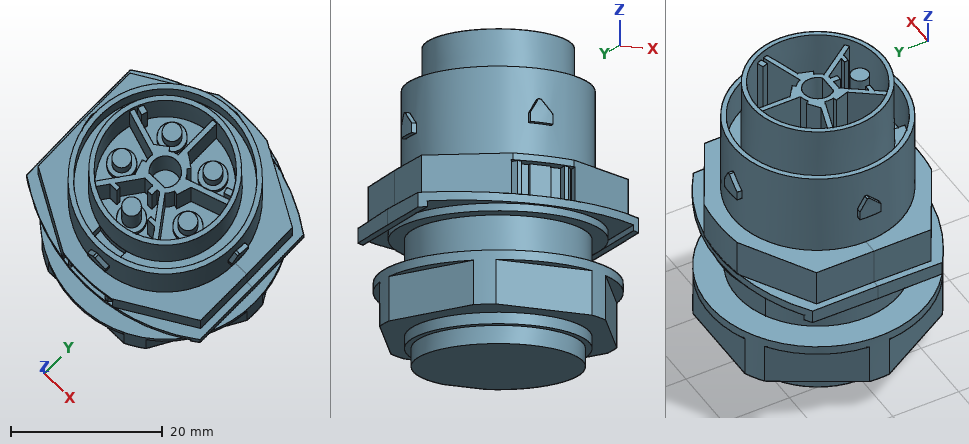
import cadquery as cq
import math

total_height = 43.45
thread_bottom_z = 2.48
nut_bottom_z = 4.05
nut_flats_top_z = 10.12
nut_top_z = 11.43
disc_bottom_z = 17.35
lip_bottom_z = 17.6
flange_bottom_z = 18.4
flange_top_z = 19.75
pocket_top_z = 24.1
hex_top_z = 25.15
socket_floor_z = 32.6
sleeve_top_z = 37.6
insert_top_z = 42.3

foot_radius = 11.5
thread_radius = 12.4
thread_flat_y = 11.1
disc_radius = 14.5

nut_radius = 16.5
nut_across_flats = 30.0

flange_bulge_y = 15.0
hex_bulge_y = 15.1
bulge_radius = 27.37
flange_half_width = 16.0
lip_width = 1.15
hex_half_width = 15.0
side_draft = 0.5
flange_top_draft = 1.0
hex_top_draft = 0.5
hex_bottom_z = flange_top_z - flange_bulge_y * math.tan(math.radians(flange_top_draft))

pocket_half_width = 4.55
pocket_panel_y = -13.25
pocket_block_y = -13.75
pocket_block_half_width = 1.5
rib_inner_x = 3.1
rib_outer_x = 3.65
rib_foot_x = 4.4
rib_front_y = -14.6
groove_floor_y = -13.6

sleeve_radius = 12.8
sleeve_bore_radius = 12.1
bump_radius = 13.5
bump_count = 4
bump_bottom_z = 30.02
bump_shoulder_z = 31.35
bump_apex_z = 33.25
bump_left_x = -1.25
bump_right_x = 2.0
bump_apex_half_width = 0.17

inner_top_radius = 10.1
inner_foot_radius = 10.15
bore_top_radius = 9.4
bore_foot_radius = 9.3

keyway_depth = 2.17
keyway_top_half_width = 2.45
keyway_foot_half_width = 2.25

chamber_count = 5
chamber_angle = 360.0 / chamber_count
web_thickness = 0.75
hub_radius = 2.85
hub_flat_y = -2.48
hub_hole_radius = 2.15
hub_hole_flat_y = -1.55
block_reach = 3.45
block_end = 0.11
key_left_x = 0.1
key_right_x = 0.9
key_end_y = -3.48
tooth_tip_x = 2.82
tooth_top_y = -5.65
tooth_bottom_y = -6.25
lug_tip = 8.2
lug_lower = 0.83
lug_upper = 1.7
pin_circle_radius = 6.4
pin_radius = 1.3
earth_pin_top_z = 41.95
pin_top_z = 37.35
collar_radius = 2.0
collar_height = 1.3

half_hexagon_step = 30.0
overlap = 0.45


def cylinder(radius, bottom, top):
    """Upright cylinder on the main axis."""
    return cq.Workplane("XY").workplane(offset=bottom).circle(radius).extrude(top - bottom)


def cone(bottom_radius, top_radius, bottom, top):
    """Upright truncated cone on the main axis."""
    profile = [(0, bottom), (bottom_radius, bottom), (top_radius, top), (0, top)]
    return cq.Workplane("XZ").polyline(profile).close().revolve(360, (0, 0), (0, 1))


def block(x_range, y_range, z_range):
    """Axis-aligned box between two limits on each axis."""
    (x0, x1), (y0, y1), (z0, z1) = x_range, y_range, z_range
    return cq.Workplane("XY").box(x1 - x0, y1 - y0, z1 - z0, centered=False).translate((x0, y0, z0))


def turned(shape, angle):
    """Copy of a shape turned about the main axis."""
    return shape.rotate((0, 0, 0), (0, 0, 1), angle)


def make_nut():
    """Round collar whose lower part carries six wrench flats."""
    hexagon = (
        cq.Workplane("XY")
        .workplane(offset=nut_bottom_z)
        .polygon(6, nut_across_flats, circumscribed=True)
        .extrude(nut_flats_top_z - nut_bottom_z)
    )
    lower = cylinder(nut_radius, nut_bottom_z, nut_flats_top_z).intersect(turned(hexagon, half_hexagon_step))
    collar = cylinder(nut_radius, nut_flats_top_z, nut_top_z)
    return lower.union(collar).cut(cylinder(thread_radius, nut_bottom_z, nut_top_z))


def bulged_plate(half_width, bulge_y, bottom, top, top_draft):
    """Plate with bulged +Y and -Y ends; its sides and top fall away from the plane y = 0."""
    corner_y = bulge_y - bulge_radius + math.sqrt(bulge_radius**2 - half_width**2)
    corner_x = half_width - corner_y * math.tan(math.radians(side_draft))
    plate = (
        cq.Workplane("XY")
        .workplane(offset=bottom)
        .moveTo(-corner_x, -corner_y)
        .threePointArc((0, -bulge_y), (corner_x, -corner_y))
        .lineTo(half_width, 0)
        .lineTo(corner_x, corner_y)
        .threePointArc((0, bulge_y), (-corner_x, corner_y))
        .lineTo(-half_width, 0)
        .close()
        .extrude(top - bottom)
    )
    eaves_z = top - bulge_y * math.tan(math.radians(top_draft))
    gable = [
        (-bulge_y, bottom),
        (bulge_y, bottom),
        (bulge_y, eaves_z),
        (0, top),
        (-bulge_y, eaves_z),
    ]
    roof = cq.Workplane("YZ").polyline(gable).close().extrude(half_width, both=True)
    return plate.intersect(roof)


def make_flange():
    """Flange with a lip hanging down along its +X and -X sides."""
    flange = bulged_plate(flange_half_width, flange_bulge_y, lip_bottom_z, flange_top_z, flange_top_draft)
    lip_inner_x = flange_half_width - lip_width
    relief = block(
        (-lip_inner_x, lip_inner_x),
        (-flange_bulge_y, flange_bulge_y),
        (lip_bottom_z, flange_bottom_z),
    )
    return flange.cut(relief)


def make_wrench_hexagon():
    """Hexagon with flats on +X and -X, its +Y and -Y corners rounded off by the bulge."""
    plate = bulged_plate(hex_half_width, hex_bulge_y, hex_bottom_z, hex_top_z, hex_top_draft)
    hexagon = (
        cq.Workplane("XY")
        .workplane(offset=hex_bottom_z)
        .polygon(6, 2 * hex_half_width, circumscribed=True)
        .extrude(hex_top_z - hex_bottom_z)
    )
    return plate.intersect(hexagon)


def make_wrench_pocket():
    """Pocket with a raised middle block, two ribs set back a little, and a V groove outside each rib."""
    right_half = [
        (pocket_block_half_width, pocket_block_y),
        (pocket_block_half_width, pocket_panel_y),
        (rib_inner_x, pocket_panel_y),
        (rib_inner_x, rib_front_y),
        (rib_outer_x, rib_front_y),
        (rib_foot_x, groove_floor_y),
        (pocket_half_width, groove_floor_y),
        (pocket_half_width, -hex_bulge_y - overlap),
    ]
    left_half = [(-x, y) for x, y in reversed(right_half)]
    return (
        cq.Workplane("XY")
        .workplane(offset=hex_bottom_z)
        .polyline(right_half + left_half)
        .close()
        .extrude(pocket_top_z - hex_bottom_z)
    )


def make_bumps():
    """Pointed latch bumps spread round the outer sleeve."""
    outline = [
        (bump_left_x, bump_bottom_z),
        (bump_right_x, bump_bottom_z),
        (bump_right_x, bump_shoulder_z),
        (bump_apex_half_width, bump_apex_z),
        (-bump_apex_half_width, bump_apex_z),
        (bump_left_x, bump_shoulder_z),
    ]
    prism = cq.Workplane("XZ").polyline(outline).close().extrude(bump_radius + overlap)
    ring = cylinder(bump_radius, bump_bottom_z, bump_apex_z)
    ring = ring.cut(cylinder(sleeve_radius - overlap, bump_bottom_z, bump_apex_z))
    bump = prism.intersect(ring)
    bumps = bump
    for index in range(1, bump_count):
        bumps = bumps.union(turned(bump, index * 360.0 / bump_count))
    return bumps


def make_socket():
    """Ring-shaped space between the outer and inner sleeves, with a keyway in its floor."""
    keyway_foot_z = socket_floor_z - keyway_depth
    keyway = (
        cq.Workplane("XZ")
        .polyline(
            [
                (-keyway_foot_half_width, keyway_foot_z),
                (keyway_foot_half_width, keyway_foot_z),
                (keyway_top_half_width, socket_floor_z),
                (-keyway_top_half_width, socket_floor_z),
            ]
        )
        .close()
        .extrude(sleeve_radius)
        .intersect(cylinder(sleeve_bore_radius, keyway_foot_z, socket_floor_z))
    )
    socket = cylinder(sleeve_bore_radius, socket_floor_z, sleeve_top_z).union(keyway)
    return socket.cut(cone(inner_foot_radius, inner_top_radius, keyway_foot_z, total_height))


def insert_block(x_range, y_range):
    """Box of the insert, from the chamber floor to the top of the insert."""
    return block(x_range, y_range, (socket_floor_z, insert_top_z))


def make_hub():
    """Round hub with a flat on its -Y side."""
    flat = insert_block((-hub_radius, hub_radius), (-hub_radius, hub_flat_y))
    return cylinder(hub_radius, socket_floor_z, insert_top_z).cut(flat)


def make_hub_hole():
    """Round hole of the hub with a flat on its -Y side."""
    flat = insert_block((-hub_hole_radius, hub_hole_radius), (-hub_hole_radius, hub_hole_flat_y))
    return cylinder(hub_hole_radius, socket_floor_z, insert_top_z).cut(flat)


def make_webs():
    """Radial webs between the chambers, the first one on +Y."""
    web = insert_block((-web_thickness / 2, web_thickness / 2), (0, bore_top_radius))
    webs = web
    for index in range(1, chamber_count):
        webs = webs.union(turned(web, index * chamber_angle))
    return webs


def make_coding_blocks():
    """Thicker half of the hub wall in every chamber but the one on -Y."""
    half_span = block_reach * math.tan(math.radians(chamber_angle / 2))
    thickening = (
        cq.Workplane("XY")
        .workplane(offset=socket_floor_z)
        .polyline([(0, 0), (-block_end, 0), (-block_end, -block_reach), (half_span, -block_reach)])
        .close()
        .extrude(insert_top_z - socket_floor_z)
    )
    blocks = turned(thickening, chamber_angle)
    for index in range(2, chamber_count):
        blocks = blocks.union(turned(thickening, index * chamber_angle))
    return blocks


def make_keys():
    """Key on the hub flat, two teeth on the lower webs and two lugs on the bore."""
    key = insert_block((key_left_x, key_right_x), (key_end_y, hub_hole_flat_y - overlap))
    web_slope = math.tan(math.radians(chamber_angle / 2))
    tooth_root_x = -tooth_bottom_y * web_slope
    tooth = insert_block((tooth_tip_x, tooth_root_x), (tooth_bottom_y, tooth_top_y))
    lug = turned(insert_block((lug_tip, bore_top_radius), (lug_lower, lug_upper)), 90 - chamber_angle)
    keys = key
    for side in (tooth, lug):
        keys = keys.union(side).union(side.mirror("YZ"))
    return keys


def make_pin(top_z):
    """Contact pin with its collar, in the chamber on -Y."""
    pin = cylinder(pin_radius, socket_floor_z, top_z)
    pin = pin.union(cylinder(collar_radius, socket_floor_z, socket_floor_z + collar_height))
    return pin.translate((0, -pin_circle_radius, 0))


def make_pins():
    """One pin in each chamber; the earth pin on -Y is taller than the others."""
    pins = make_pin(earth_pin_top_z)
    for index in range(1, chamber_count):
        pins = pins.union(turned(make_pin(pin_top_z), index * chamber_angle))
    return pins


def make_insert():
    """Webs, hub, keys and pins, trimmed to end inside the wall of the inner sleeve."""
    insert = make_webs().union(make_hub()).union(make_coding_blocks()).union(make_keys())
    insert = insert.cut(make_hub_hole()).union(make_pins())
    return insert.intersect(cylinder(bore_top_radius, socket_floor_z, total_height))


def make_housing():
    """Connector housing: threaded base, flange, hexagon, two sleeves and the insert."""
    base = cylinder(foot_radius, 0, thread_bottom_z)
    base = base.union(cylinder(thread_radius, thread_bottom_z, disc_bottom_z))
    base = base.cut(
        block((-thread_radius, thread_radius), (thread_flat_y, thread_radius), (0, disc_bottom_z))
    )
    hexagon = make_wrench_hexagon().cut(make_wrench_pocket())
    housing = base.union(cylinder(disc_radius, disc_bottom_z, flange_bottom_z))
    housing = housing.union(hexagon).union(make_flange())
    housing = housing.union(cylinder(sleeve_radius, pocket_top_z, sleeve_top_z))
    housing = housing.union(make_bumps()).cut(make_socket())
    housing = housing.union(cone(inner_foot_radius, inner_top_radius, socket_floor_z, total_height))
    housing = housing.cut(cone(bore_foot_radius, bore_top_radius, socket_floor_z, total_height))
    return housing.union(make_insert())


housing = make_housing()
nut = make_nut()

result = cq.Compound.makeCompound([housing.val(), nut.val()])